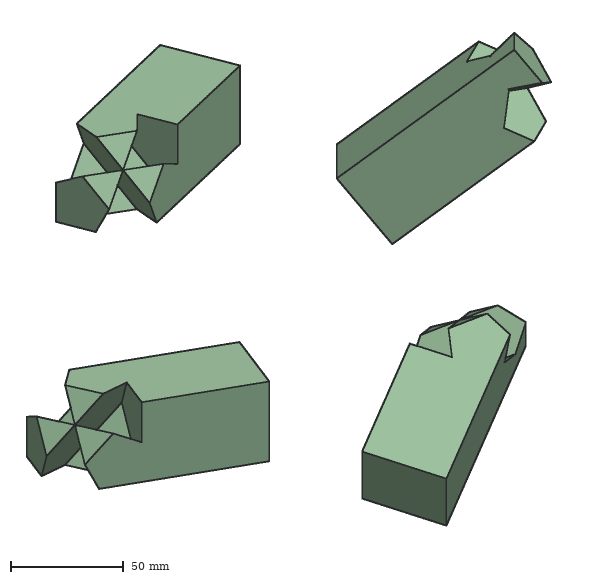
import cadquery as cq
import math

side = 40.0
length = 99.95
third = side / 3
cutter_reach = 3 * side

diagonal = (1, -1, 1)
sector_direction = (-2, -1, 1)
sector_count = 3
sector_half_angle = 30


def diagonal_plane(step):
    """Plane square to the diagonal, a number of thirds along it."""
    point = (step * third, side - step * third, step * third)
    return cq.Plane(origin=point, xDir=sector_direction, normal=diagonal)


def radial_point(angle):
    radians = math.radians(angle)
    return (cutter_reach * math.cos(radians), cutter_reach * math.sin(radians))


def notch(center_angle):
    """Wedge with its sharp edge on the diagonal and its floor at one third."""
    return (
        cq.Workplane(diagonal_plane(1))
        .moveTo(0, 0)
        .lineTo(*radial_point(center_angle - sector_half_angle))
        .lineTo(*radial_point(center_angle + sector_half_angle))
        .close()
        .extrude(cutter_reach)
    )


bar = cq.Workplane("XY").box(side, length, side, centered=False)
joint_cube = cq.Workplane("XY").box(side, side, side, centered=False)

corner = cq.Workplane(diagonal_plane(2)).circle(cutter_reach).extrude(cutter_reach)
result = bar.cut(corner.intersect(joint_cube))

for index in range(sector_count):
    wedge = notch(index * 360 / sector_count)
    result = result.cut(wedge.intersect(joint_cube))